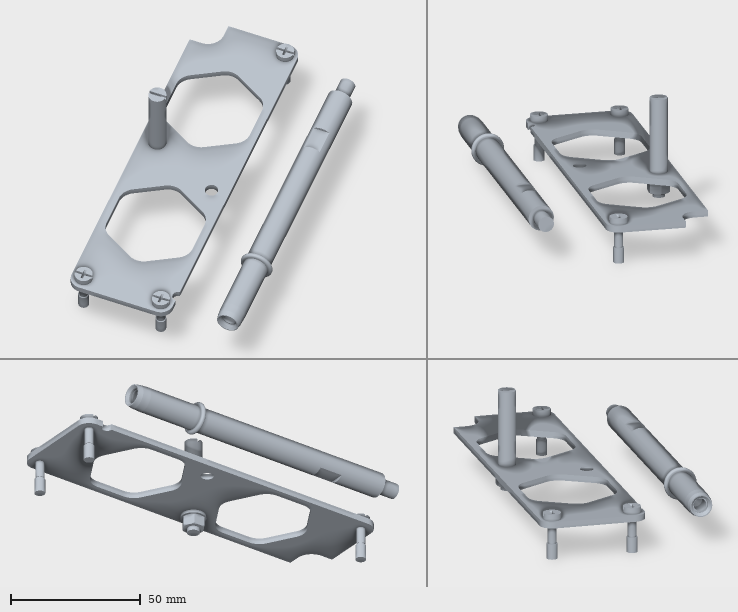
import cadquery as cq
import math


plate_width = 42.0
plate_length = 140.0
plate_thickness = 2.5
plate_corner_radius = 5.0
corner_notch_size = 11.5
corner_notch_radius = 6.5
window_across_flats = 35.5
window_corner_radius = 6.8
window_offset_y = 30.0
round_hole_diameter = 5.2
edge_notch_width = 4.2
edge_notch_depth = 2.1
edge_notch_y = -60.0
hole_offset_x = 14.0
hole_offset_y = 7.0

screw_inset = 5.0
head_diameter = 7.0
head_height = 2.5
head_slot_width = 1.0
head_slot_depth = 1.2
cross_recess_length = 4.2
cross_recess_width = 1.0
cross_recess_depth = 2.0
screw_end_depth = 16.0
thread_diameter = 4.2
thread_length = 6.1
neck_diameter = 3.1
neck_length = 0.6
shank_diameter = 3.5

post_diameter = 7.0
post_height = 30.0
post_slot_width = 1.2
post_slot_depth = 1.2
washer_diameter = 10.0
washer_thickness = 1.2
nut_across_flats = 8.0
nut_height = 4.5
nut_chamfer_angle = 30.0
stud_diameter = 5.0
stud_length = 7.5

rod_axis_x = 43.68
rod_diameter = 10.0
rod_rear_y = 52.7
rod_tip_y = -65.0
stub_diameter = 6.2
stub_length = 8.0
flat_distance = 7.5
flat_length = 10.0
flat_rear_y = 33.0
collar_diameter = 13.0
collar_thickness = 1.9
collar_y = -34.7
shoulder_y = -59.4
nose_y = -62.9
nose_diameter = 9.6
tip_diameter = 8.8
mouth_diameter = 8.0
mouth_depth = 1.0
counterbore_diameter = 6.0
counterbore_depth = 2.0
bore_diameter = 5.0
bore_depth = 8.0
drill_point_depth = 1.5

hexagon_ratio = 1 / math.cos(math.pi / 6)


def cylinder(diameter, bottom_z, top_z, x, y):
    disc = cq.Workplane("XY", origin=(x, y, bottom_z)).circle(diameter / 2)
    return disc.extrude(top_z - bottom_z)


def box(size_x, size_y, bottom_z, top_z, x, y):
    rectangle = cq.Workplane("XY", origin=(x, y, bottom_z)).rect(size_x, size_y)
    return rectangle.extrude(top_z - bottom_z)


def hexagon(across_flats, bottom_z, top_z, x, y):
    """Hexagonal prism with two of its corners on the Y direction."""
    start = cq.Workplane("XY", origin=(x, y, bottom_z)).transformed(rotate=(0, 0, 90))
    return start.polygon(6, across_flats * hexagon_ratio).extrude(top_z - bottom_z)


def make_plate():
    bottom = -plate_thickness
    plate = box(plate_width, plate_length, bottom, 0, 0, 0)
    for corner in ("<X and <Y", ">X and <Y", ">X and >Y"):
        plate = plate.edges("|Z").edges(corner).fillet(plate_corner_radius)

    corner_notch = box(2 * corner_notch_size, 2 * corner_notch_size, bottom, 0,
                       -plate_width / 2, plate_length / 2)
    corner_notch = corner_notch.edges("|Z and >X and <Y").fillet(corner_notch_radius)
    plate = plate.cut(corner_notch)

    for y in (-window_offset_y, window_offset_y):
        window = hexagon(window_across_flats, bottom, 0, 0, y)
        plate = plate.cut(window.edges("|Z").fillet(window_corner_radius))

    edge_notch_end_x = plate_width / 2 - edge_notch_depth + edge_notch_width / 2
    plate = plate.cut(cylinder(edge_notch_width, bottom, 0, edge_notch_end_x, edge_notch_y))
    return plate.cut(cylinder(round_hole_diameter, bottom, 0, hole_offset_x, -hole_offset_y))


def make_screw(x, y):
    thread_top = thread_length - screw_end_depth
    neck_top = thread_top + neck_length
    screw = cylinder(head_diameter, 0, head_height, x, y)
    screw = screw.union(cylinder(shank_diameter, neck_top, 0, x, y))
    screw = screw.union(cylinder(neck_diameter, thread_top, neck_top, x, y))
    screw = screw.union(cylinder(thread_diameter, -screw_end_depth, thread_top, x, y))
    slot_bottom = head_height - head_slot_depth
    screw = screw.cut(box(head_diameter, head_slot_width, slot_bottom, head_height, x, y))
    return screw.cut(make_cross_recess(x, y))


def make_cross_recess(x, y):
    """Cross-shaped recess whose arms slope down to its middle."""
    half = cross_recess_length / 2
    deep = half - cross_recess_width / 2
    arm = (
        cq.Workplane("YZ", origin=(-cross_recess_width / 2, 0, 0))
        .polyline([(-half, 0), (half, 0), (half - deep, -cross_recess_depth),
                   (deep - half, -cross_recess_depth)])
        .close()
        .extrude(cross_recess_width)
    )
    cross = arm.union(arm.rotate((0, 0, 0), (0, 0, 1), 90))
    return cross.translate((x, y, head_height))


def make_nut(top_z, x, y):
    bottom_z = top_z - nut_height
    corner_radius = nut_across_flats * hexagon_ratio / 2
    flat_radius = nut_across_flats / 2
    rise = (corner_radius - flat_radius) * math.tan(math.radians(nut_chamfer_angle))
    chamfered = cylinder(2 * corner_radius, bottom_z, top_z, x, y)
    chamfered = chamfered.faces("|Z").edges().chamfer(rise, corner_radius - flat_radius)
    return hexagon(nut_across_flats, bottom_z, top_z, x, y).intersect(chamfered)


def make_post(x, y):
    post = cylinder(post_diameter, 0, post_height, x, y)
    post = post.cut(box(post_diameter, post_slot_width, post_height - post_slot_depth, post_height, x, y))
    washer_bottom = -plate_thickness - washer_thickness
    post = post.union(cylinder(stud_diameter, -plate_thickness - stud_length, 0, x, y))
    post = post.union(cylinder(washer_diameter, washer_bottom, -plate_thickness, x, y))
    return post.union(make_nut(washer_bottom, x, y))


def make_plate_assembly():
    body = make_plate()
    screw_x = plate_width / 2 - screw_inset
    screw_y = plate_length / 2 - screw_inset
    for x, y in ((-screw_x, -screw_y), (screw_x, -screw_y), (screw_x, screw_y)):
        body = body.union(make_screw(x, y))
    return body.union(make_post(-hole_offset_x, hole_offset_y))


def make_rod():
    rod_radius = rod_diameter / 2
    bore_end_y = rod_tip_y + bore_depth
    collar_rim = collar_thickness / 2
    collar_edge = collar_diameter / 2 - collar_rim
    profile = (
        cq.Workplane("XY")
        .moveTo(0, bore_end_y + drill_point_depth)
        .lineTo(bore_diameter / 2, bore_end_y)
        .lineTo(bore_diameter / 2, rod_tip_y + counterbore_depth)
        .lineTo(counterbore_diameter / 2, rod_tip_y + counterbore_depth)
        .lineTo(counterbore_diameter / 2, rod_tip_y + mouth_depth)
        .lineTo(mouth_diameter / 2, rod_tip_y)
        .lineTo(tip_diameter / 2, rod_tip_y)
        .lineTo(nose_diameter / 2, nose_y)
        .lineTo(rod_radius, shoulder_y)
        .lineTo(rod_radius, collar_y - collar_rim)
        .lineTo(collar_edge, collar_y - collar_rim)
        .threePointArc((collar_diameter / 2, collar_y), (collar_edge, collar_y + collar_rim))
        .lineTo(rod_radius, collar_y + collar_rim)
        .lineTo(rod_radius, rod_rear_y)
        .lineTo(stub_diameter / 2, rod_rear_y)
        .lineTo(stub_diameter / 2, rod_rear_y + stub_length)
        .lineTo(0, rod_rear_y + stub_length)
        .close()
    )
    rod = profile.revolve(360, (0, 0), (0, 1))

    flat_y = flat_rear_y - flat_length / 2
    flat_z = flat_distance / 2
    rod = rod.cut(box(rod_diameter, flat_length, flat_z, rod_radius, 0, flat_y))
    rod = rod.cut(box(rod_diameter, flat_length, -rod_radius, -flat_z, 0, flat_y))
    return rod.translate((rod_axis_x, 0, 0))


plate_assembly = make_plate_assembly()
guide_rod = make_rod()

result = cq.Compound.makeCompound([plate_assembly.val(), guide_rod.val()])